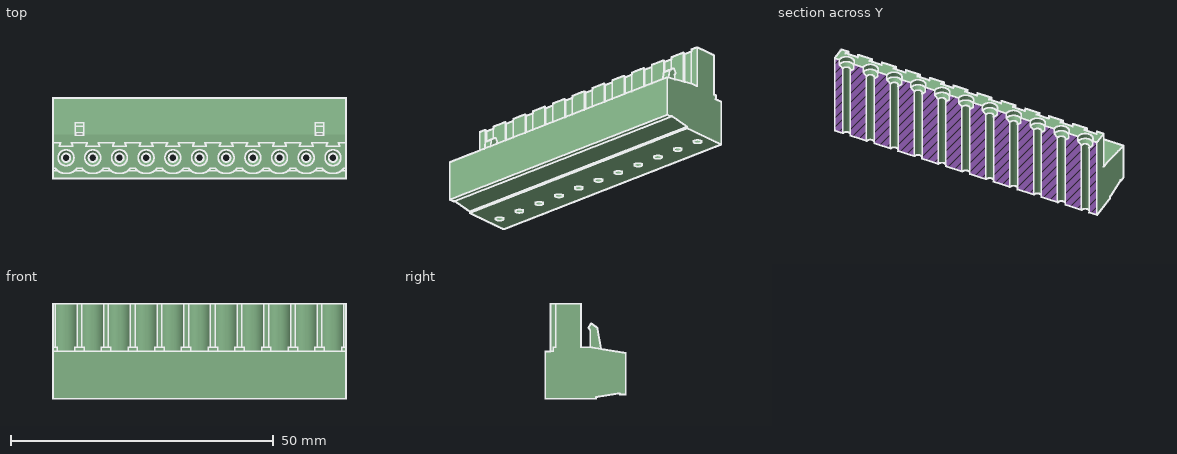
import cadquery as cq
import math

length = 55.75
depth = 15.35
height = 18.1

pole_count = 11
pole_pitch = 5.1
first_pole_x = (length - (pole_count - 1) * pole_pitch) / 2
pole_xs = [first_pole_x + i * pole_pitch for i in range(pole_count)]

front_ledge_z = 9.05
deck_z = 9.85
deck_slope_y = 8.35
back_top_z = 8.75
back_bottom_z = 0.85
back_foot_y = 14.2
back_foot_step = 0.2
ramp_front_y = 9.7
ramp_front_z = 0.35

tower_back_y = 6.85
web_front_y = 2.0
web_foot_y = 1.5

nose_front_y = 1.0
nose_flat_half = 0.25
nose_arc_width = 1.85
nose_drop = web_front_y - nose_front_y
nose_radius = (nose_arc_width**2 + nose_drop**2) / (2 * nose_drop)

groove_depth = 0.65
groove_mouth_width = 2.0
groove_floor_width = 2.6

well_y = 3.95
well_diameter = 3.0
well_depth = 1.2
shaft_diameter = 1.55
cone_depth = (well_diameter - shaft_diameter) / 2

latch_width = 1.55
latch_root_z = 8.35
latch_front_y = 8.55
latch_hook_z = 13.05
latch_tip_y = 8.2
latch_tip_z = 13.55
latch_peak_y = 8.75
latch_peak_z = 14.4
latch_shoulder_y = 9.9
latch_back_y = 10.65
latch_xs = [pole_xs[0] + pole_pitch / 2, pole_xs[-1] - pole_pitch / 2]


def extrude_along_x(outline, start_x, width):
    """Extrude a (y, z) outline in +X from start_x."""
    return cq.Workplane("YZ").workplane(offset=start_x).polyline(outline).close().extrude(width)


def deck_z_at(y):
    """Height of the sloping rear part of the deck."""
    slope = (deck_z - back_top_z) / (depth - deck_slope_y)
    return deck_z - slope * (y - deck_slope_y)


def make_base():
    outline = [
        (0, 0),
        (0, front_ledge_z),
        (web_foot_y, front_ledge_z),
        (web_foot_y, deck_z),
        (deck_slope_y, deck_z),
        (depth, back_top_z),
        (depth, back_bottom_z),
        (back_foot_y, back_bottom_z),
        (back_foot_y, back_bottom_z + back_foot_step),
        (ramp_front_y, ramp_front_z),
        (ramp_front_y, 0),
    ]
    return extrude_along_x(outline, 0, length)


def make_tower_wall():
    outline = [
        (web_front_y, front_ledge_z),
        (web_front_y, height),
        (tower_back_y, height),
        (tower_back_y, front_ledge_z),
    ]
    return extrude_along_x(outline, 0, length)


def make_pole_nose(x):
    """Rounded column standing on the front ledge and running to the top of the tower."""
    half_width = nose_flat_half + nose_arc_width
    mid_angle = math.asin(nose_arc_width / nose_radius) / 2
    mid_x = nose_flat_half + nose_radius * math.sin(mid_angle)
    mid_y = nose_front_y + nose_radius * (1 - math.cos(mid_angle))
    return (
        cq.Workplane("XY")
        .workplane(offset=front_ledge_z)
        .moveTo(x - half_width, well_y)
        .lineTo(x - half_width, web_front_y)
        .threePointArc((x - mid_x, mid_y), (x - nose_flat_half, nose_front_y))
        .lineTo(x + nose_flat_half, nose_front_y)
        .threePointArc((x + mid_x, mid_y), (x + half_width, web_front_y))
        .lineTo(x + half_width, well_y)
        .close()
        .extrude(height - front_ledge_z)
    )


def make_groove(x):
    """Dovetail slot from the top of the tower down to the deck."""
    floor_y = tower_back_y - groove_depth
    outline = [
        (x - groove_mouth_width / 2, tower_back_y),
        (x - groove_floor_width / 2, floor_y),
        (x + groove_floor_width / 2, floor_y),
        (x + groove_mouth_width / 2, tower_back_y),
    ]
    return cq.Workplane("XY").workplane(offset=deck_z).polyline(outline).close().extrude(height - deck_z)


def make_well(x):
    """Counterbore, 45 degree cone and through shaft, revolved about the vertical pole axis."""
    cone_top_z = height - well_depth
    outline = [
        (0, 0),
        (shaft_diameter / 2, 0),
        (shaft_diameter / 2, cone_top_z - cone_depth),
        (well_diameter / 2, cone_top_z),
        (well_diameter / 2, height),
        (0, height),
    ]
    well = cq.Workplane("XZ").polyline(outline).close().revolve(360, (0, 0), (0, 1))
    return well.translate((x, well_y, 0))


def make_latch(x):
    """Upright arm with a hooked tip facing the tower; its root is sunk into the base."""
    outline = [
        (latch_front_y, latch_root_z),
        (latch_front_y, latch_hook_z),
        (latch_tip_y, latch_tip_z),
        (latch_peak_y, latch_peak_z),
        (latch_shoulder_y, latch_tip_z),
        (latch_back_y, deck_z_at(latch_back_y)),
        (latch_back_y, latch_root_z),
    ]
    return extrude_along_x(outline, x - latch_width / 2, latch_width)


result = make_base().union(make_tower_wall())
for pole_x in pole_xs:
    result = result.union(make_pole_nose(pole_x))
for latch_x in latch_xs:
    result = result.union(make_latch(latch_x))
for pole_x in pole_xs:
    result = result.cut(make_groove(pole_x)).cut(make_well(pole_x))